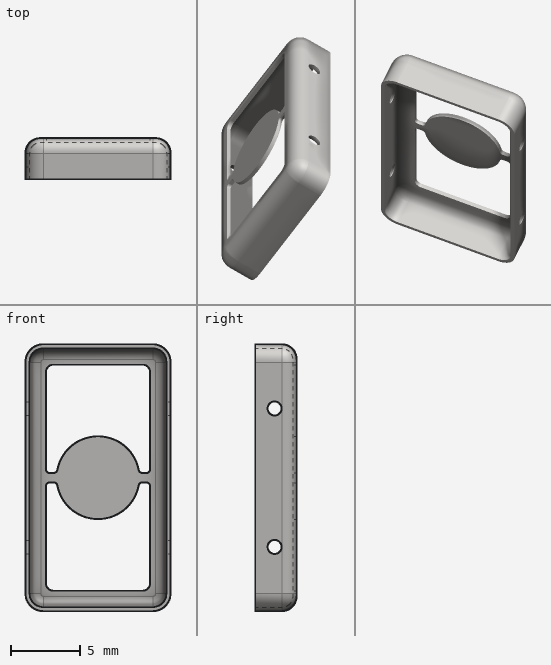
import cadquery as cq

width = 10.5
depth = 3.0
height = 19.3
wall = 0.3

corner_radius = 1.3
floor_edge_radius = 1.1

window_margin = 1.5
window_width = width - 2 * window_margin
window_height = height - 2 * window_margin
window_corner_radius = 0.5

disc_diameter = 6.0
tab_height = 0.7
tab_fillet_radius = 0.25

hole_diameter = 1.0
hole_spacing = 10.0
hole_center_y = depth - floor_edge_radius - hole_diameter / 2


def extrude_toward_back(sketch_size, start_y, length):
    """Centered rectangular block from start_y, growing in +Y."""
    plane = cq.Workplane("XZ", origin=(0, start_y, 0))
    return plane.rect(*sketch_size).extrude(-length)


def rounded_block(inset):
    """Block inset from the outer skin on every side but the open one."""
    size = (width - 2 * inset, height - 2 * inset)
    block = extrude_toward_back(size, 0, depth - inset)
    block = block.edges("|Y").fillet(corner_radius - inset)
    return block.faces(">Y").edges().fillet(floor_edge_radius - inset)


def window_cutter():
    """Window volume that leaves the disc and its tabs standing."""
    floor_y = depth - wall
    window = extrude_toward_back((window_width, window_height), floor_y, wall)
    window = window.edges("|Y").fillet(window_corner_radius)
    tabs = extrude_toward_back((window_width, tab_height), floor_y, wall)
    disc = cq.Workplane("XZ", origin=(0, floor_y, 0)).circle(disc_diameter / 2).extrude(-wall)
    openings = window.cut(tabs).cut(disc)
    tab_corners = cq.selectors.BoxSelector(
        (-width, 0, -tab_height),
        (width, 2 * depth, tab_height),
    )
    return openings.edges("|Y").edges(tab_corners).fillet(tab_fillet_radius)


def cross_holes():
    """Pair of holes running along X through both long walls."""
    plane = cq.Workplane("YZ", origin=(-width / 2, 0, 0))
    centers = [(hole_center_y, side * hole_spacing / 2) for side in (-1, 1)]
    return plane.pushPoints(centers).circle(hole_diameter / 2).extrude(width)


tray = rounded_block(0).cut(rounded_block(wall))
result = tray.cut(window_cutter()).cut(cross_holes())